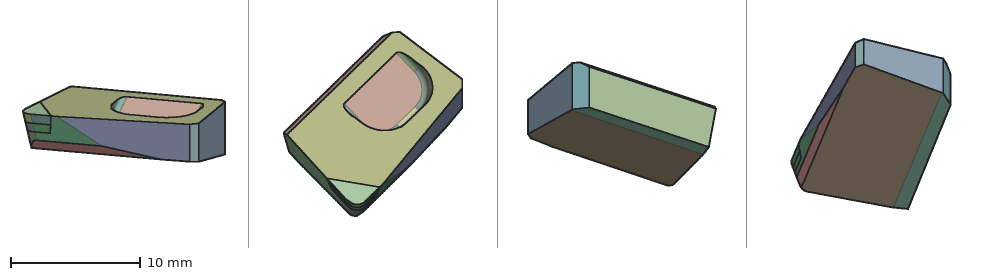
import cadquery as cq
import math


length = 14.07
width = 9.0
height = 4.2
back_chamfer = 0.5
back_skew = 0.5
back_left_x = 1.5
right_skew = 0.04
right_front_y = 1.55
right_back_y = 7.98
back_right_x = 13.13
front_right_x = 13.45
front_right_y = 1.03
cutting_edge_end_x = 3.0

side_relief = 9.9
front_relief = 9.2
left_angle = 10.8
facet_end_y = 1.34
nose_radius = 0.83
bottom_slope = 10.0
bottom_flat_y = 7.85
undercut_depth = 2.17
undercut_angle = 30.0

pocket_center_x = 9.43
pocket_back_y = 6.96
pocket_width = 6.87
pocket_tilt = 23.0
pocket_floor_length = 4.36
pocket_corner_radius = 2.36
pocket_floor_fillet = 0.4

tip_edge_length = 2.52
tip_joint_angle = 60.0
upper_layer_thickness = 0.76
lower_layer_thickness = 0.72

margin = 2.81


def tan(angle):
    return math.tan(math.radians(angle))


def leaning_prism(outline, lean_x, lean_y):
    """Prism running down from the top face, shifted in x and y by its lean angles."""
    wire = outline.val()
    direction = cq.Vector(height * tan(lean_x), height * tan(lean_y), -height)
    return cq.Workplane(cq.Solid.extrudeLinear(wire, [], direction))


def plan_prism():
    """Vertical outer faces with the chamfer along the back of the top."""
    def back_y(x):
        return width - (x - back_left_x) * tan(back_skew)

    prism = (
        cq.Workplane("XY")
        .moveTo(-margin, 0)
        .lineTo(cutting_edge_end_x, 0)
        .lineTo(front_right_x, front_right_y)
        .lineTo(length - right_skew, right_front_y)
        .lineTo(length, right_back_y)
        .lineTo(back_right_x, back_y(back_right_x))
        .lineTo(-margin, back_y(-margin))
        .close()
        .extrude(height)
    )
    back_edge_x = (back_right_x - margin) / 2
    back_edge = cq.NearestToPointSelector((back_edge_x, back_y(back_edge_x), height))
    return prism.edges(back_edge).chamfer(back_chamfer)


def side_profile():
    """Sloped bottom and the steeper undercut below the front relief face."""
    undercut_y = undercut_depth * tan(front_relief)
    undercut_z = height - undercut_depth
    slope_rise = (bottom_flat_y - undercut_y) * tan(bottom_slope)
    toe_drop = (undercut_z - slope_rise) / (1 - tan(bottom_slope) * tan(undercut_angle))
    toe_y = undercut_y + toe_drop * tan(undercut_angle)
    toe_z = (bottom_flat_y - toe_y) * tan(bottom_slope)
    return (
        cq.Workplane("YZ")
        .moveTo(bottom_flat_y, 0)
        .lineTo(toe_y, toe_z)
        .lineTo(undercut_y, undercut_z)
        .lineTo(-margin, undercut_z)
        .lineTo(-margin, height)
        .lineTo(width + margin, height)
        .lineTo(width + margin, 0)
        .close()
        .extrude(length + margin)
    )


def nose_prism():
    """Corner facet and front relief face joined by the round nose."""
    far_x = length + margin
    far_y = width + margin
    arc_offset = nose_radius * (1 - math.sqrt(0.5))
    outline = (
        cq.Workplane("XY", origin=(0, 0, height))
        .moveTo(0, far_y)
        .lineTo(0, nose_radius)
        .threePointArc((arc_offset, arc_offset), (nose_radius, 0))
        .lineTo(far_x, 0)
        .lineTo(far_x, far_y)
        .close()
    )
    return leaning_prism(outline, side_relief, front_relief)


def left_prism():
    """Left face, leaning inwards towards the bottom."""
    front_y = -margin
    back_y = width + margin
    outline = cq.Workplane("XY", origin=(0, 0, height)).polyline([
        ((front_y - facet_end_y) * tan(left_angle), front_y),
        (length + margin, front_y),
        (length + margin, back_y),
        ((back_y - facet_end_y) * tan(left_angle), back_y),
    ]).close()
    return leaning_prism(outline, side_relief, 0)


def pocket():
    """Cutter whose floor starts at the top face and falls towards the front."""
    cutter_height = 2 * margin
    floor = (
        cq.Plane(origin=(pocket_center_x, pocket_back_y, height))
        .rotated((0, 0, -back_skew))
        .rotated((pocket_tilt, 0, 0))
    )
    half_width = pocket_width / 2
    front_corners = cq.selectors.SumSelector(
        *[
            cq.NearestToPointSelector(floor.toWorldCoords((x, -pocket_floor_length, cutter_height / 2)))
            for x in (-half_width, half_width)
        ]
    )
    return (
        cq.Workplane(floor)
        .center(0, (margin - pocket_floor_length) / 2)
        .rect(pocket_width, margin + pocket_floor_length)
        .extrude(cutter_height)
        .edges(front_corners)
        .fillet(pocket_corner_radius)
        .faces(cq.NearestToPointSelector(floor.origin))
        .edges()
        .fillet(pocket_floor_fillet)
    )


def tip_region(top_depth, thickness):
    """Corner of the blank in front of the upright joint, for one layer."""
    joint_y = 2 * width
    joint_x = tip_edge_length - joint_y / tan(tip_joint_angle)
    front_y = -margin
    front_x = tip_edge_length - front_y / tan(tip_joint_angle)
    return (
        cq.Workplane("XY", origin=(0, 0, height - top_depth - thickness))
        .polyline([(joint_x, joint_y), (joint_x, front_y), (front_x, front_y)])
        .close()
        .extrude(thickness)
    )


blank = plan_prism().intersect(side_profile()).intersect(nose_prism()).intersect(left_prism())

upper_region = tip_region(0, upper_layer_thickness)
lower_region = tip_region(upper_layer_thickness, lower_layer_thickness)

upper_layer = blank.intersect(upper_region)
lower_layer = blank.intersect(lower_region)
insert_body = blank.cut(upper_region).cut(lower_region).cut(pocket())

result = cq.Compound.makeCompound([insert_body.val(), upper_layer.val(), lower_layer.val()])